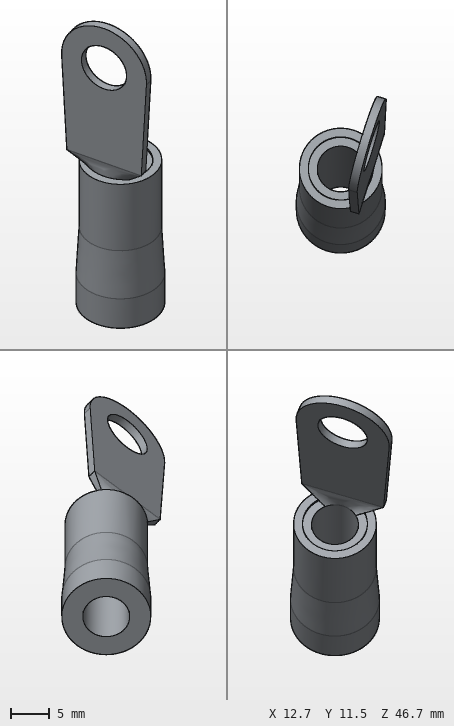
import cadquery as cq
import math

SLEEVE_TOP_DIAMETER = 10.67
SLEEVE_BASE_DIAMETER = 11.48
BASE_HEIGHT = 4.75
TAPER_TOP_Z = 12.2
SLEEVE_HEIGHT = 22.9

BARREL_DIAMETER = 8.36
BORE_DIAMETER = 6.04
BARREL_RECESS = 0.3

OVERALL_HEIGHT = 46.7
TONGUE_WIDTH = 12.7
TONGUE_BASE_WIDTH = 11.15
TONGUE_BASE_Z = 25.1
STUD_HOLE_DIAMETER = 6.73

NECK_HALF_ANGLE = math.radians(44)

BARREL_TOP_Z = SLEEVE_HEIGHT - BARREL_RECESS
BARREL_RADIUS = BARREL_DIAMETER / 2
BORE_RADIUS = BORE_DIAMETER / 2
TONGUE_RADIUS = TONGUE_WIDTH / 2
STUD_HOLE_Z = OVERALL_HEIGHT - TONGUE_RADIUS
TONGUE_FRONT_Y = -BARREL_RADIUS
TONGUE_BACK_Y = -BORE_RADIUS
TONGUE_THICKNESS = TONGUE_BACK_Y - TONGUE_FRONT_Y


def make_sleeve_and_barrel():
    """Revolve the stepped and tapered body with its through bore."""
    top_radius = SLEEVE_TOP_DIAMETER / 2
    base_radius = SLEEVE_BASE_DIAMETER / 2
    return (
        cq.Workplane("XZ")
        .moveTo(BORE_RADIUS, 0)
        .lineTo(base_radius, 0)
        .lineTo(base_radius, BASE_HEIGHT)
        .lineTo(top_radius, TAPER_TOP_Z)
        .lineTo(top_radius, SLEEVE_HEIGHT)
        .lineTo(BARREL_RADIUS, SLEEVE_HEIGHT)
        .lineTo(BARREL_RADIUS, BARREL_TOP_Z)
        .lineTo(BORE_RADIUS, BARREL_TOP_Z)
        .close()
        .revolve(360, (0, 0, 0), (0, 1, 0))
    )


def make_tongue():
    """Plate with a round end whose straight sides run tangent from the arc to the base."""
    half_base = TONGUE_BASE_WIDTH / 2
    drop = STUD_HOLE_Z - TONGUE_BASE_Z
    base_distance = math.hypot(half_base, drop)
    tangent_angle = math.acos(TONGUE_RADIUS / base_distance) - math.atan2(drop, half_base)
    tangent_x = TONGUE_RADIUS * math.cos(tangent_angle)
    tangent_z = STUD_HOLE_Z + TONGUE_RADIUS * math.sin(tangent_angle)
    plate = (
        cq.Workplane("XZ", origin=(0, TONGUE_BACK_Y, 0))
        .moveTo(-half_base, TONGUE_BASE_Z)
        .lineTo(half_base, TONGUE_BASE_Z)
        .lineTo(tangent_x, tangent_z)
        .threePointArc((0, OVERALL_HEIGHT), (-tangent_x, tangent_z))
        .close()
        .extrude(TONGUE_THICKNESS)
    )
    stud_hole = (
        cq.Workplane("XZ", origin=(0, TONGUE_BACK_Y, STUD_HOLE_Z))
        .circle(STUD_HOLE_DIAMETER / 2)
        .extrude(TONGUE_THICKNESS)
    )
    return plate.cut(stud_hole)


def barrel_point(radius, angle):
    """Point on the barrel end, at an angle turned from -Y toward +X."""
    return cq.Vector(radius * math.sin(angle), -radius * math.cos(angle), BARREL_TOP_Z)


def wall_arc(radius, start_angle):
    """Arc on the barrel end from start_angle to its mirror image across X = 0."""
    return cq.Edge.makeThreePointArc(
        barrel_point(radius, start_angle),
        barrel_point(radius, 0),
        barrel_point(radius, -start_angle),
    )


def make_neck():
    """Ruled transition from a sector of the barrel wall to the foot of the tongue."""
    outer_arc = wall_arc(BARREL_RADIUS, -NECK_HALF_ANGLE)
    inner_arc = wall_arc(BORE_RADIUS, NECK_HALF_ANGLE)
    wall_section = cq.Wire.assembleEdges([
        outer_arc,
        cq.Edge.makeLine(outer_arc.endPoint(), inner_arc.startPoint()),
        inner_arc,
        cq.Edge.makeLine(inner_arc.endPoint(), outer_arc.startPoint()),
    ])
    half_base = TONGUE_BASE_WIDTH / 2
    tongue_section = cq.Wire.makePolygon(
        [
            cq.Vector(-half_base, TONGUE_FRONT_Y, TONGUE_BASE_Z),
            cq.Vector(half_base, TONGUE_FRONT_Y, TONGUE_BASE_Z),
            cq.Vector(half_base, TONGUE_BACK_Y, TONGUE_BASE_Z),
            cq.Vector(-half_base, TONGUE_BACK_Y, TONGUE_BASE_Z),
        ],
        close=True,
    )
    return cq.Workplane(cq.Solid.makeLoft([wall_section, tongue_section], True))


result = make_sleeve_and_barrel().union(make_neck()).union(make_tongue())